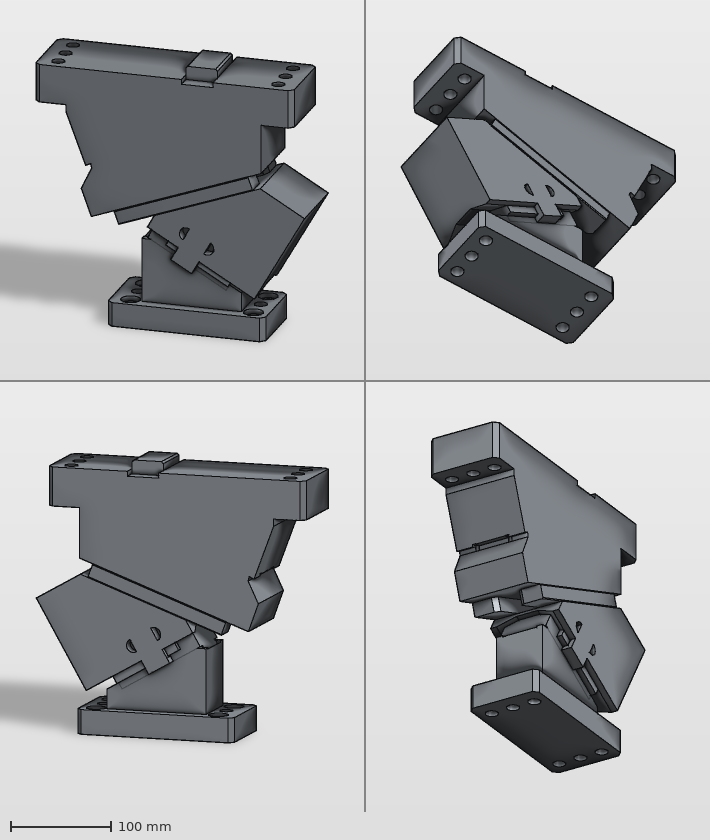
import cadquery as cq
import math


WIDTH = 80.0
HALF_WIDTH = WIDTH / 2
CORNER_CHAMFER = 5.0
HOLE_DIAMETER = 13.0
HOLE_PITCH = 25.0
HOLE_END_DISTANCE = 20.0
CAM_ANGLE = 20.0
RAIL_ANGLE = 30.0

DRIVER_LENGTH = 270.5
DRIVER_TOP = 270.0
FLANGE_THICKNESS = 39.8
WEB_LEFT = 32.8
WEB_RIGHT = 237.0
HEEL_X = 59.3
HEEL_Z = 114.2
NOSE_LENGTH = 30.8
UNDERCUT_START_Z = 222.7
NOTCH_LIP = (53.5, 167.9)
NOTCH_CEILING = (58.5, 170.0)
NOTCH_FLOOR = (59.5, 165.5)
NOTCH_RELIEF_HALF_WIDTH = 21.2
NOTCH_RELIEF_CORE_HALF_WIDTH = 17.2
NOTCH_RELIEF_RISE = 1.7
NOTCH_RELIEF_REACH = 2.8

KEY_LEFT = 153.7
KEY_LENGTH = 33.0
KEY_WIDTH = 50.3
KEY_HEIGHT = 9.0
KEY_SLOT_DEPTH = 5.0
KEY_CHAMFER = 2.0

STRIP_START = 25.2
STRIP_LENGTH = 149.2
STRIP_THICKNESS = 15.0
STRIP_INNER_Y = 12.5
STRIP_CORNER_CHAMFER = 5.0
STRIP_EDGE_CHAMFER = 1.0

SLIDER_START = 64.7
SLIDER_LENGTH = 129.5
SLIDER_HEIGHT = 105.0
SLIDER_LEFT_HEIGHT = 14.7
HOOK_START = 37.0
HOOK_LENGTH = 25.5
HOOK_INNER_Y = 28.3
HOOK_HOLE_DIAMETER = 13.8
HOOK_HOLE_HEIGHT = 17.2

RAIL_START = 4.8
RAIL_END = 99.8
RAIL_DEPTH = 15.5
STEM_HALF_WIDTH = 27.0
RAIL_FLANGE_START = 24.5
RAIL_FLANGE_HALF_WIDTH = 33.0
RAIL_FLANGE_HEIGHT = 8.5
RAIL_CLEARANCE = 1.0
ROOF_FLAT_HALF_WIDTH = 12.5
ROOF_ANGLE = 25.0
ROOF_RISE = (RAIL_FLANGE_HALF_WIDTH - ROOF_FLAT_HALF_WIDTH) * math.tan(math.radians(ROOF_ANGLE))
GROOVE_HALF_WIDTH = 19.8
GROOVE_DEPTH = 5.7

PLATE_LEFT = 75.7
PLATE_LENGTH = 164.7
PLATE_THICKNESS = 25.2
PLATE_RIGHT_HOLE_END_DISTANCE = 16.0
COUNTERBORE_DIAMETER = 19.8
COUNTERBORE_DEPTH = 5.0
COLUMN_LEFT = 108.2
COLUMN_RIGHT = 212.5
COLUMN_TOP = 91.8

CAM_COS = math.cos(math.radians(CAM_ANGLE))
CAM_SIN = math.sin(math.radians(CAM_ANGLE))
RAIL_COS = math.cos(math.radians(RAIL_ANGLE))
RAIL_SIN = math.sin(math.radians(RAIL_ANGLE))


def on_cam(along, depth):
    """World (x, z) of a point along the cam slope and below it."""
    x = HEEL_X + along * CAM_COS + depth * CAM_SIN
    z = HEEL_Z + along * CAM_SIN - depth * CAM_COS
    return x, z


SLIDER_CORNER_X, SLIDER_CORNER_Z = on_cam(SLIDER_START, STRIP_THICKNESS)
RAIL_ORIGIN_X = SLIDER_CORNER_X - SLIDER_LEFT_HEIGHT * RAIL_SIN
RAIL_ORIGIN_Z = SLIDER_CORNER_Z - SLIDER_LEFT_HEIGHT * RAIL_COS


def on_rail(u, v):
    """World (x, z) of a point given in the rail frame."""
    x = RAIL_ORIGIN_X + u * RAIL_COS + v * RAIL_SIN
    z = RAIL_ORIGIN_Z - u * RAIL_SIN + v * RAIL_COS
    return x, z


def prism(points, y_start, y_end):
    """Outline in X and Z, extruded from y_start to y_end."""
    return cq.Workplane("XZ", origin=(0, y_start, 0)).polyline(points).close().extrude(y_start - y_end)


def wide_prism(points, half_width):
    return prism(points, -half_width, half_width)


def rail_box(u_range, v_range, y_range):
    """Box aligned with the rail frame."""
    u0, u1 = u_range
    v0, v1 = v_range
    corners = [on_rail(u0, v0), on_rail(u1, v0), on_rail(u1, v1), on_rail(u0, v1)]
    return prism(corners, *y_range)


def rail_extrusion(section, u_start, u_end):
    """Section in Y and v, extruded along the rail."""
    x, z = on_rail(u_start, 0)
    plane = cq.Plane(origin=(x, 0, z), xDir=(0, 1, 0), normal=(RAIL_COS, 0, -RAIL_SIN))
    return cq.Workplane(plane).polyline(section).close().extrude(u_end - u_start)


def chamfered_plate(left, length, bottom, thickness):
    plate = cq.Workplane("XY").box(length, WIDTH, thickness, centered=(False, True, False))
    return plate.edges("|Z").chamfer(CORNER_CHAMFER).translate((left, 0, bottom))


def roof_height(y):
    """Height of the rail's sloping roof at a distance y from the mid-plane."""
    return ROOF_RISE * (RAIL_FLANGE_HALF_WIDTH - y) / (RAIL_FLANGE_HALF_WIDTH - ROOF_FLAT_HALF_WIDTH)


def roofed_section(half_width, bottom):
    """Rail section with a flat-topped roof above its upright sides."""
    eave = roof_height(half_width)
    return [
        (-half_width, bottom),
        (half_width, bottom),
        (half_width, eave),
        (ROOF_FLAT_HALF_WIDTH, ROOF_RISE),
        (-ROOF_FLAT_HALF_WIDTH, ROOF_RISE),
        (-half_width, eave),
    ]


def driver_web():
    flange_bottom = DRIVER_TOP - FLANGE_THICKNESS
    cam_end_z = HEEL_Z + (WEB_RIGHT - HEEL_X) * math.tan(math.radians(CAM_ANGLE))
    outline = [
        (WEB_LEFT, flange_bottom),
        (WEB_LEFT, UNDERCUT_START_Z),
        NOTCH_LIP,
        NOTCH_CEILING,
        NOTCH_FLOOR,
        on_cam(0, -NOSE_LENGTH),
        (HEEL_X, HEEL_Z),
        (WEB_RIGHT, cam_end_z),
        (WEB_RIGHT, flange_bottom),
    ]
    return wide_prism(outline, HALF_WIDTH)


def notch_relief():
    """Middle of the notch: a higher mouth, and an upright back wall at both flanks."""
    lip_x, lip_z = NOTCH_LIP
    floor_x, floor_z = NOTCH_FLOOR
    mouth_x = lip_x - NOTCH_RELIEF_REACH
    raised_lip = (mouth_x, lip_z + NOTCH_RELIEF_RISE)
    upright_top_z = NOTCH_CEILING[1] + NOTCH_RELIEF_RISE
    core = [(mouth_x, floor_z), NOTCH_FLOOR, NOTCH_CEILING, raised_lip]
    upright = [(mouth_x, floor_z), NOTCH_FLOOR, (floor_x, upright_top_z), raised_lip]
    relief = wide_prism(core, NOTCH_RELIEF_CORE_HALF_WIDTH)
    for side in (-1, 1):
        flank = prism(upright, side * NOTCH_RELIEF_CORE_HALF_WIDTH, side * NOTCH_RELIEF_HALF_WIDTH)
        relief = relief.union(flank)
    return relief


def wear_strip(side):
    """Strip with lead-in corners on its inner side and beveled outer edges."""
    x, z = on_cam(STRIP_START, 0)
    plane = cq.Plane(origin=(x, 0, z), xDir=(CAM_COS, 0, CAM_SIN), normal=(CAM_SIN, 0, -CAM_COS))
    outline = [
        (0, HALF_WIDTH),
        (0, STRIP_INNER_Y + STRIP_CORNER_CHAMFER),
        (STRIP_CORNER_CHAMFER, STRIP_INNER_Y),
        (STRIP_LENGTH - STRIP_CORNER_CHAMFER, STRIP_INNER_Y),
        (STRIP_LENGTH, STRIP_INNER_Y + STRIP_CORNER_CHAMFER),
        (STRIP_LENGTH, HALF_WIDTH),
    ]
    points = [(along, -side * across) for along, across in outline]
    strip = cq.Workplane(plane).polyline(points).close().extrude(STRIP_THICKNESS)
    outer_face = ">Y" if side > 0 else "<Y"
    long_edges = cq.selectors.ParallelDirSelector(cq.Vector(CAM_COS, 0, CAM_SIN))
    return strip.faces(outer_face).edges(long_edges).chamfer(STRIP_EDGE_CHAMFER)


def driver_holes():
    columns = (HOLE_END_DISTANCE, DRIVER_LENGTH - HOLE_END_DISTANCE)
    centers = [(x, row * HOLE_PITCH) for x in columns for row in (-1, 0, 1)]
    holes = cq.Workplane("XY", origin=(0, 0, DRIVER_TOP)).pushPoints(centers)
    return holes.circle(HOLE_DIAMETER / 2).extrude(-FLANGE_THICKNESS)


def make_driver():
    driver = chamfered_plate(0, DRIVER_LENGTH, DRIVER_TOP - FLANGE_THICKNESS, FLANGE_THICKNESS)
    driver = driver.union(driver_web()).cut(notch_relief()).cut(driver_holes())
    slot_floor = (KEY_LEFT, 0, DRIVER_TOP - KEY_SLOT_DEPTH)
    in_place = (False, True, False)
    slot = cq.Workplane("XY").box(KEY_LENGTH, WIDTH, KEY_SLOT_DEPTH, centered=in_place)
    key = cq.Workplane("XY").box(KEY_LENGTH, KEY_WIDTH, KEY_SLOT_DEPTH + KEY_HEIGHT, centered=in_place)
    key = key.faces(">Z").edges("|Y").chamfer(KEY_CHAMFER)
    driver = driver.cut(slot.translate(slot_floor)).union(key.translate(slot_floor))
    for side in (-1, 1):
        driver = driver.union(wear_strip(side))
    return driver


def slider_hook(side):
    """Hook reaching down beside the rail and under its flange."""
    u_range = (HOOK_START, HOOK_START + HOOK_LENGTH)
    hook = rail_box(u_range, (-RAIL_DEPTH, 0), (side * HOOK_INNER_Y, side * HALF_WIDTH))
    flange_space_y = side * (RAIL_FLANGE_HALF_WIDTH + RAIL_CLEARANCE)
    flange_space_v = (-RAIL_FLANGE_HEIGHT - RAIL_CLEARANCE, 0)
    return hook.cut(rail_box(u_range, flange_space_v, (0, flange_space_y)))


def hook_holes(side):
    """Half-round pockets on both sides of the hook's shank."""
    depth = HALF_WIDTH - HOOK_INNER_Y
    hook_end = HOOK_START + HOOK_LENGTH
    centers = [on_rail(u, HOOK_HOLE_HEIGHT) for u in (HOOK_START, hook_end)]
    plane = cq.Workplane("XZ", origin=(0, side * HALF_WIDTH, 0))
    holes = plane.pushPoints(centers).circle(HOOK_HOLE_DIAMETER / 2).extrude(side * depth)
    shank_v = (HOOK_HOLE_HEIGHT - HOOK_HOLE_DIAMETER, HOOK_HOLE_HEIGHT + HOOK_HOLE_DIAMETER)
    shank = rail_box((HOOK_START, hook_end), shank_v, (side * HOOK_INNER_Y, side * HALF_WIDTH))
    return holes.cut(shank)


def make_slider():
    slope = math.tan(math.radians(CAM_ANGLE + RAIL_ANGLE))
    top_start = (SLIDER_HEIGHT - SLIDER_LEFT_HEIGHT) / slope
    outline = [
        on_rail(0, 0),
        on_rail(SLIDER_LENGTH, 0),
        on_rail(SLIDER_LENGTH, SLIDER_HEIGHT),
        on_rail(top_start, SLIDER_HEIGHT),
        on_rail(0, SLIDER_LEFT_HEIGHT),
    ]
    channel = [
        (-RAIL_FLANGE_HALF_WIDTH, 0),
        (RAIL_FLANGE_HALF_WIDTH, 0),
        (ROOF_FLAT_HALF_WIDTH, ROOF_RISE),
        (-ROOF_FLAT_HALF_WIDTH, ROOF_RISE),
    ]
    slider = wide_prism(outline, HALF_WIDTH).cut(rail_extrusion(channel, 0, SLIDER_LENGTH))
    for side in (-1, 1):
        slider = slider.union(slider_hook(side)).cut(hook_holes(side))
    return slider


def base_column():
    """Upright block with an inclined seat for the rail and a stop lip at the seat's end."""
    seat_x, seat_z = on_rail(0, -RAIL_DEPTH)
    seat_start_x = seat_x + (seat_z - COLUMN_TOP) * RAIL_COS / RAIL_SIN
    lip_x, lip_z = on_rail(RAIL_END, -RAIL_FLANGE_HEIGHT)
    lip_end_z = lip_z - (COLUMN_RIGHT - lip_x) * RAIL_SIN / RAIL_COS
    outline = [
        (COLUMN_LEFT, PLATE_THICKNESS),
        (COLUMN_RIGHT, PLATE_THICKNESS),
        (COLUMN_RIGHT, lip_end_z),
        (lip_x, lip_z),
        on_rail(RAIL_END, -RAIL_DEPTH),
        (seat_start_x, COLUMN_TOP),
        (COLUMN_LEFT, COLUMN_TOP),
    ]
    groove_v = (-RAIL_DEPTH - GROOVE_DEPTH, 0)
    groove_y = (-GROOVE_HALF_WIDTH, GROOVE_HALF_WIDTH)
    groove = rail_box((-SLIDER_LENGTH, RAIL_END), groove_v, groove_y)
    return wide_prism(outline, STEM_HALF_WIDTH).cut(groove)


def base_rail():
    """T-shaped rail with a sloping roof and a tongue that fills the column's groove."""
    stem = rail_extrusion(roofed_section(STEM_HALF_WIDTH, -RAIL_DEPTH), RAIL_START, RAIL_END)
    tongue_v = (-RAIL_DEPTH - GROOVE_DEPTH, 0)
    stem = stem.union(rail_box((RAIL_START, RAIL_END), tongue_v, (-GROOVE_HALF_WIDTH, GROOVE_HALF_WIDTH)))
    flange_section = roofed_section(RAIL_FLANGE_HALF_WIDTH, -RAIL_FLANGE_HEIGHT)
    return stem.union(rail_extrusion(flange_section, RAIL_FLANGE_START, RAIL_END))


def base_plate():
    """Plate with a plain hole between two counterbored ones at each end."""
    plate = chamfered_plate(PLATE_LEFT, PLATE_LENGTH, 0, PLATE_THICKNESS)
    right_column = PLATE_LEFT + PLATE_LENGTH - PLATE_RIGHT_HOLE_END_DISTANCE
    top = cq.Workplane("XY", origin=(0, 0, PLATE_THICKNESS))
    for x in (PLATE_LEFT + HOLE_END_DISTANCE, right_column):
        bolts = [(x, -HOLE_PITCH), (x, HOLE_PITCH)]
        through = top.pushPoints([(x, 0), *bolts]).circle(HOLE_DIAMETER / 2).extrude(-PLATE_THICKNESS)
        counterbores = top.pushPoints(bolts).circle(COUNTERBORE_DIAMETER / 2).extrude(-COUNTERBORE_DEPTH)
        plate = plate.cut(through).cut(counterbores)
    return plate


def make_base():
    return base_plate().union(base_column()).union(base_rail(), clean=False)


driver = make_driver()
slider = make_slider()
base = make_base()

result = cq.Compound.makeCompound([*driver.solids().vals(), *slider.solids().vals(), *base.solids().vals()])